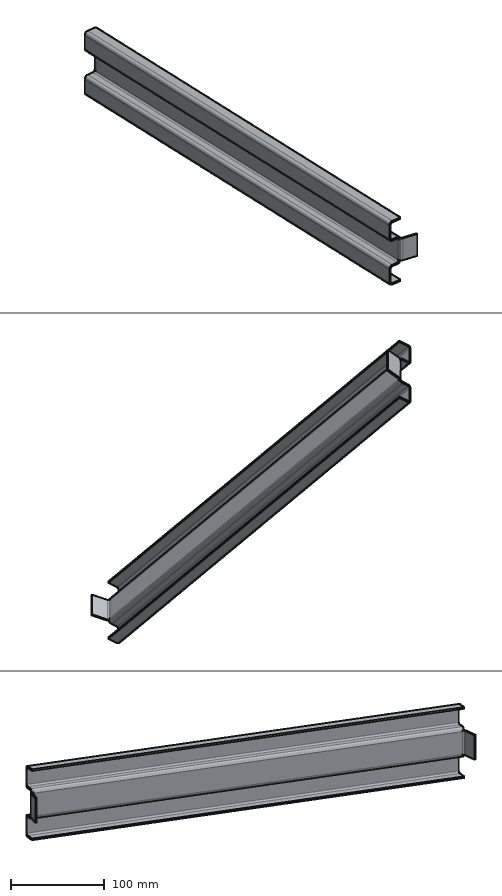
import cadquery as cq
import math

sheet = 2.0
inner_radius = 2.0
mid_radius = inner_radius + sheet / 2
outer_radius = inner_radius + sheet

overall_length = 517.0
overall_depth = 35.0
overall_height = 80.0

rail_length = 506.5
rail_depth = 15.5
channel_opening = 30.0

tab_width = 27.5
tab_bend_angle = 80.0


def build_rail():
    """Sweep the sheet edge along the middle line of the profile, from bottom to top."""
    front_y = sheet / 2
    floor_y = rail_depth - sheet / 2
    flange_z = overall_height / 2 - sheet / 2
    wall_z = channel_opening / 2 + sheet / 2
    r = mid_radius
    path = (
        cq.Workplane("YZ")
        .moveTo(rail_depth, -flange_z)
        .lineTo(front_y + r, -flange_z)
        .tangentArcPoint((front_y, -flange_z + r), relative=False)
        .lineTo(front_y, -wall_z - r)
        .tangentArcPoint((front_y + r, -wall_z), relative=False)
        .lineTo(floor_y - r, -wall_z)
        .tangentArcPoint((floor_y, -wall_z + r), relative=False)
        .lineTo(floor_y, wall_z - r)
        .tangentArcPoint((floor_y - r, wall_z), relative=False)
        .lineTo(front_y + r, wall_z)
        .tangentArcPoint((front_y, wall_z + r), relative=False)
        .lineTo(front_y, flange_z - r)
        .tangentArcPoint((front_y + r, flange_z), relative=False)
        .lineTo(rail_depth, flange_z)
    )
    sheet_edge = cq.Workplane("XZ", origin=(0, rail_depth, -flange_z)).rect(rail_length, sheet)
    return sheet_edge.sweep(path)


bend = math.radians(tab_bend_angle)
tab_rise = overall_depth - rail_depth + sheet
bend_rise = outer_radius - inner_radius * math.cos(bend)
bend_run = outer_radius * math.sin(bend)
straight_length = (tab_rise - bend_rise) / math.sin(bend)
bend_start_x = overall_length / 2 - bend_run - straight_length * math.cos(bend)


def build_tab():
    """Constant-thickness tab at the +X end, outlined in the XY plane."""
    center_y = rail_depth - sheet + outer_radius
    along = (math.cos(bend), math.sin(bend))

    def on_bend(radius, angle):
        return (
            bend_start_x + radius * math.sin(angle),
            center_y - radius * math.cos(angle),
        )

    def at_tip(radius):
        x, y = on_bend(radius, bend)
        return (x + straight_length * along[0], y + straight_length * along[1])

    return (
        cq.Workplane("XY")
        .moveTo(*on_bend(outer_radius, 0))
        .threePointArc(on_bend(outer_radius, bend / 2), on_bend(outer_radius, bend))
        .lineTo(*at_tip(outer_radius))
        .lineTo(*at_tip(inner_radius))
        .lineTo(*on_bend(inner_radius, bend))
        .threePointArc(on_bend(inner_radius, bend / 2), on_bend(inner_radius, 0))
        .close()
        .extrude(tab_width / 2, both=True)
    )


def build_floor_notch():
    """Floor removed at the +X end, where the sheet bends into the tab."""
    length = rail_length / 2 - bend_start_x
    return cq.Workplane("XY").box(length, sheet, tab_width).translate(
        (bend_start_x + length / 2, rail_depth - sheet / 2, 0)
    )


right_tab = build_tab()
right_notch = build_floor_notch()
rail = build_rail().cut(right_notch).cut(right_notch.mirror("YZ"))
result = rail.union(right_tab).union(right_tab.mirror("YZ"))